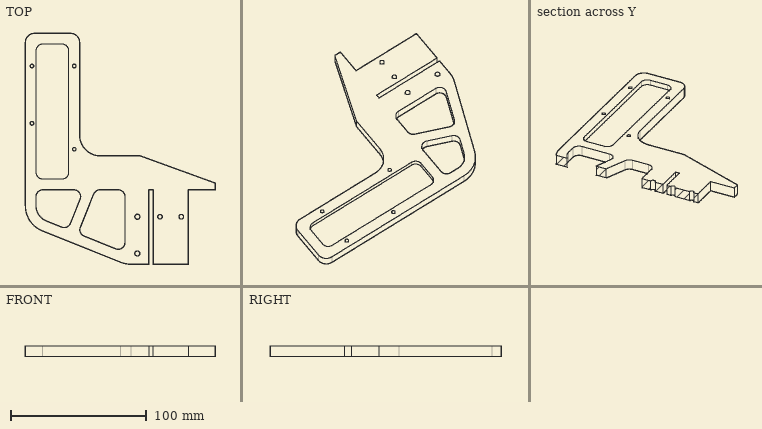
import cadquery as cq
import math

length_x = 139.7
length_y = 170.0
thickness = 8.0
wall = 8.0

arm_width = 40.1
arm_corner_radius = 7.0
shelf_y = 79.9
shelf_end_x = 84.5
inner_corner_radius = 15.0
tip_top_y = 59.8
tip_bottom_y = 54.7
foot_right_x = 120.0
foot_left_x = 73.8
slope_left_y = 29.5
slope_radius = 20.0

slot_left_x = 91.0
slot_width = 3.0

pocket_width = 24.0
pocket_bottom_y = 62.7
pocket_depth = 4.0
pocket_corner_radius = 5.0

window_top_y = tip_bottom_y
window_right_x = 73.3
window_corner_radius = 5.0
rib_top_x = 43.0

arm_hole_diameter = 2.5
arm_hole_left_x = 5.0
arm_hole_right_x = 36.0
arm_hole_top_y = 145.9
arm_hole_centers = [
    (arm_hole_left_x, arm_hole_top_y),
    (arm_hole_right_x, arm_hole_top_y),
    (arm_hole_left_x, 103.7),
    (arm_hole_right_x, 84.7),
]
left_foot_hole_diameter = 3.5
right_foot_hole_diameter = 3.2
foot_hole_y = 35.0
left_foot_hole_x = 82.5
left_foot_hole_centers = [(left_foot_hole_x, foot_hole_y), (left_foot_hole_x, 8.0)]
right_foot_hole_centers = [(99.1, foot_hole_y), (114.8, foot_hole_y)]

slope = slope_left_y / foot_left_x
slope_stretch = math.hypot(1, slope)
window_slope_y = slope_left_y + wall * slope_stretch


def prism(points, height=thickness):
    return cq.Workplane("XY").polyline(points).close().extrude(height)


def round_corner(body, point, radius):
    """Round the vertical edge standing on the given XY point."""
    nearest = cq.selectors.NearestToPointSelector((*point, thickness / 2))
    return body.edges("|Z").edges(nearest).fillet(radius)


def make_plate():
    slope_start = (0, slope_left_y)
    slope_end = (foot_left_x, 0)
    arm_top_left = (0, length_y)
    arm_top_right = (arm_width, length_y)
    inner_corner = (arm_width, shelf_y)
    body = prism([
        slope_start,
        slope_end,
        (foot_right_x, 0),
        (foot_right_x, tip_bottom_y),
        (length_x, tip_bottom_y),
        (length_x, tip_top_y),
        (shelf_end_x, shelf_y),
        inner_corner,
        arm_top_right,
        arm_top_left,
    ])
    for point in (slope_start, slope_end):
        body = round_corner(body, point, slope_radius)
    for point in (arm_top_left, arm_top_right):
        body = round_corner(body, point, arm_corner_radius)
    return round_corner(body, inner_corner, inner_corner_radius)


def window_edge_point(top_x):
    """Meeting point of the window lower edge and a rib side starting at top_x."""
    rib_slope = 1 / slope
    x = (window_slope_y - window_top_y + rib_slope * top_x) / (rib_slope + slope)
    return (x, window_slope_y - slope * x)


def make_left_window():
    outer_corner = (wall, window_slope_y - slope * wall)
    small_corners = [
        window_edge_point(rib_top_x),
        (rib_top_x, window_top_y),
        (wall, window_top_y),
    ]
    body = prism([outer_corner] + small_corners)
    body = round_corner(body, outer_corner, slope_radius - wall)
    for point in small_corners:
        body = round_corner(body, point, window_corner_radius)
    return body


def make_right_window():
    left_top_x = rib_top_x + wall * slope_stretch
    body = prism([
        window_edge_point(left_top_x),
        (window_right_x, window_slope_y - slope * window_right_x),
        (window_right_x, window_top_y),
        (left_top_x, window_top_y),
    ])
    return body.edges("|Z").fillet(window_corner_radius)


def make_pocket():
    pocket_length = length_y - wall - pocket_bottom_y
    return (
        cq.Workplane("XY")
        .box(pocket_width, pocket_length, pocket_depth, centered=False)
        .edges("|Z")
        .fillet(pocket_corner_radius)
        .translate((wall, pocket_bottom_y, thickness - pocket_depth))
    )


def make_slot():
    return (
        cq.Workplane("XY")
        .box(slot_width, tip_bottom_y, thickness, centered=False)
        .translate((slot_left_x, 0, 0))
    )


def make_holes(centers, diameter):
    return cq.Workplane("XY").pushPoints(centers).circle(diameter / 2).extrude(thickness)


result = (
    make_plate()
    .cut(make_left_window())
    .cut(make_right_window())
    .cut(make_pocket())
    .cut(make_slot())
    .cut(make_holes(arm_hole_centers, arm_hole_diameter))
    .cut(make_holes(left_foot_hole_centers, left_foot_hole_diameter))
    .cut(make_holes(right_foot_hole_centers, right_foot_hole_diameter))
)